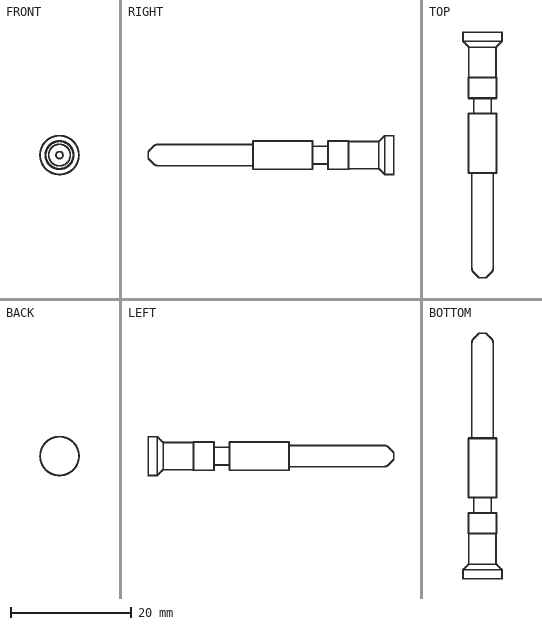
import cadquery as cq
import math

LENGTH = 40.9
FLANGE_RIM = 1.5
COLLAR_START = 7.5
COLLAR_END = 11.05
SLEEVE_START = 13.5
SLEEVE_END = 23.48
NOSE_START = 39.25

FLANGE_D = 6.5
BARREL_D = 4.6
SLEEVE_D = 4.75
NECK_D = 3.0
PIN_D = 3.6

EDGE_CHAMFER = 0.102
BARREL_CHAMFER = (SLEEVE_D - BARREL_D) / 2
NOSE_RADIUS = 1.02
NOSE_ANGLE = math.radians(45)

BACK_Y = LENGTH / 2


def revolve_profile(profile):
    """Revolve a (radius, station) profile about the long axis."""
    return profile.close().revolve(360, (0, 0, 0), (0, 1, 0))


def at(radius, station):
    """Point of a half profile at a distance from the back face."""
    return (radius, BACK_Y - station)


def make_contact_body():
    """Flange, crimp barrel, collar, neck and sleeve in one turned body."""
    flange_r = FLANGE_D / 2
    barrel_r = BARREL_D / 2
    sleeve_r = SLEEVE_D / 2
    neck_r = NECK_D / 2
    cone_end = FLANGE_RIM + flange_r - barrel_r
    outline = [
        at(0, 0),
        at(flange_r, 0),
        at(flange_r, FLANGE_RIM),
        at(barrel_r, cone_end),
        at(barrel_r, COLLAR_START),
        at(sleeve_r, COLLAR_START + BARREL_CHAMFER),
        at(sleeve_r, COLLAR_END - EDGE_CHAMFER),
        at(sleeve_r - EDGE_CHAMFER, COLLAR_END),
        at(neck_r, COLLAR_END),
        at(neck_r, SLEEVE_START),
        at(sleeve_r - EDGE_CHAMFER, SLEEVE_START),
        at(sleeve_r, SLEEVE_START + EDGE_CHAMFER),
        at(sleeve_r, SLEEVE_END - EDGE_CHAMFER),
        at(sleeve_r - EDGE_CHAMFER, SLEEVE_END),
        at(0, SLEEVE_END),
    ]
    return revolve_profile(cq.Workplane("XY").polyline(outline))


def make_pin():
    """Straight pin, butted on the sleeve, with a rounded and conical nose."""
    pin_r = PIN_D / 2

    def nose_point(angle):
        radius = pin_r - NOSE_RADIUS * (1 - math.cos(angle))
        return at(radius, NOSE_START + NOSE_RADIUS * math.sin(angle))

    cone_start_r, cone_start_y = nose_point(NOSE_ANGLE)
    cone_length = cone_start_y - (BACK_Y - LENGTH)
    tip_r = cone_start_r - cone_length * math.tan(NOSE_ANGLE)
    profile = (
        cq.Workplane("XY")
        .moveTo(*at(0, SLEEVE_END))
        .lineTo(*at(pin_r, SLEEVE_END))
        .lineTo(*at(pin_r, NOSE_START))
        .threePointArc(nose_point(NOSE_ANGLE / 2), nose_point(NOSE_ANGLE))
        .lineTo(*at(tip_r, LENGTH))
        .lineTo(*at(0, LENGTH))
    )
    return revolve_profile(profile)


contact_body = make_contact_body()
pin = make_pin()

result = cq.Compound.makeCompound([contact_body.val(), pin.val()])